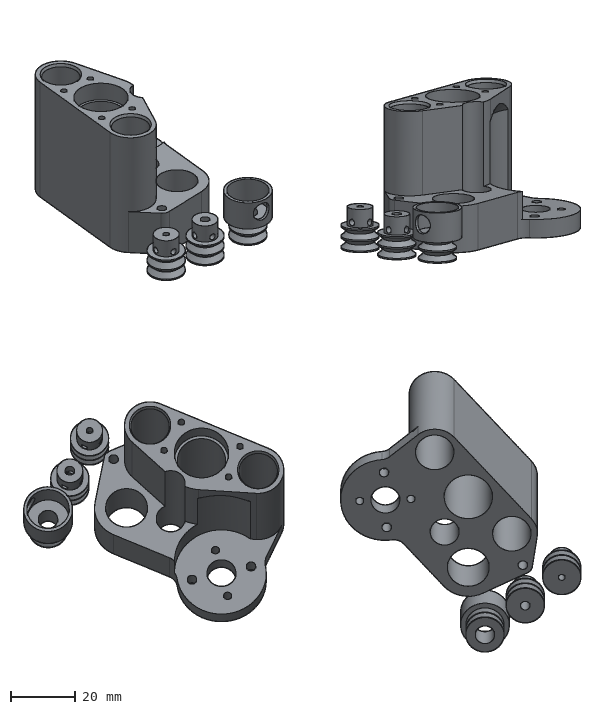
import cadquery as cq
import math

DECK_TOP = 6.0
BLOCK_TOP = 15.0
TOWER_TOP = 42.0

BOSS_X = 18.5
BOSS_RADIUS = 8.0
CENTER_Y = 2.0
CENTER_BOSS_RADIUS = 12.5
IDLER_Y = 17.85
IDLER_BOSS_RADIUS = 10.0
EAR_X = 29.0
EAR_Y = 4.4
EAR_RADIUS = 3.0
BACK_Y = IDLER_Y + IDLER_BOSS_RADIUS
LEFT_X = -BOSS_X - BOSS_RADIUS

MOTOR_X = -16.0
MOTOR_Y = 22.4
MOTOR_DISC_RADIUS = 14.0
MOTOR_FILLET = 4.0
MOTOR_HOLE_RADIUS = 4.5
MOTOR_TILT = 38.0
WIDE_SCREW_OFFSET = 9.5
WIDE_SCREW_RADIUS = 1.5
NARROW_SCREW_OFFSET = 8.0
NARROW_SCREW_RADIUS = 1.25
CLEARANCE_RADIUS = 14.7
CLEARANCE_TOP = 35.0
CLEARANCE_TAPER = 0.71

SIDE_BORE_RADIUS = 6.0
SIDE_MOUTH_RADIUS = 6.45
SIDE_MOUTH_DEPTH = 0.9
CENTER_BORE_RADIUS = 7.5
CENTER_SEAT_RADIUS = 8.5
CENTER_SEAT_DEPTH = 6.05
IDLER_BORE_RADIUS = 6.5
EAR_HOLE_RADIUS = 1.5
SHAFT_X = 4.4
SHAFT_Y = 15.5
SHAFT_HOLE_RADIUS = 4.5
LID_SCREW_RADIUS = 1.0
LID_SCREW_DEPTH = 7.0
LID_SCREWS_BACK = (11.0, 6.0)
LID_SCREWS_FRONT = (10.0, -5.0)

PULLEY_X = 40.1
PULLEY_RADIUS = 6.0
ROOT_RADIUS = 4.2
LAND_HEIGHT = 0.5
GROOVE_WIDTH = 3.0
GROOVE_COUNT = 2
SHEAVE_HEIGHT = GROOVE_COUNT * (LAND_HEIGHT + GROOVE_WIDTH) + LAND_HEIGHT

HUB_RADIUS = 4.0
HUB_TOP = 13.35
SET_SCREW_RADIUS = 1.0
SET_SCREW_Z = 8.9
SMALL_PULLEYS = ((-2.0, 1.0), (13.0, 1.5))

CUP_Y = 29.5
CUP_BASE = 1.5
CUP_RADIUS = 7.6
CUP_TOP = 18.0
CUP_RIM_BASE = CUP_BASE + SHEAVE_HEIGHT - LAND_HEIGHT
CUP_FLOOR = 10.0
CUP_INNER_RADIUS = 6.6
CUP_BORE_RADIUS = 3.0
CUP_SIDE_HOLE_RADIUS = 3.0
CUP_SIDE_HOLE_Z = 14.0


def cylinder(x, y, radius, bottom, top):
    """Upright cylinder between two heights."""
    return cq.Workplane("XY", origin=(x, y, bottom)).circle(radius).extrude(top - bottom)


def on_circle(circle, angle):
    """Point at an angle on a circle given as (x, y, radius)."""
    x, y, radius = circle
    return (x + radius * math.cos(angle), y + radius * math.sin(angle))


def belt_outline(circles, bottom, top):
    """Prism whose outline is a belt around circles listed counter-clockwise."""
    count = len(circles)
    normals = []
    for i in range(count):
        x1, y1, r1 = circles[i]
        x2, y2, r2 = circles[(i + 1) % count]
        heading = math.atan2(y2 - y1, x2 - x1)
        normals.append(heading - math.acos((r1 - r2) / math.hypot(x2 - x1, y2 - y1)))

    outline = cq.Workplane("XY", origin=(0, 0, bottom)).moveTo(*on_circle(circles[0], normals[-1]))
    for i, circle in enumerate(circles):
        arrive = normals[i - 1]
        turn = (normals[i] - arrive) % (2 * math.pi)
        outline = outline.threePointArc(
            on_circle(circle, arrive + turn / 2),
            on_circle(circle, arrive + turn),
        )
        following = (i + 1) % count
        if following:
            outline = outline.lineTo(*on_circle(circles[following], normals[i]))
    return outline.close().extrude(top - bottom)


LEFT_BOSS = (-BOSS_X, 0, BOSS_RADIUS)
RIGHT_BOSS = (BOSS_X, 0, BOSS_RADIUS)
CENTER_BOSS = (0, CENTER_Y, CENTER_BOSS_RADIUS)
EAR = (EAR_X, EAR_Y, EAR_RADIUS)
IDLER_BOSS = (BOSS_X, IDLER_Y, IDLER_BOSS_RADIUS)


def base_block():
    """Full footprint with the motor disc, up to the block height."""
    base = belt_outline([LEFT_BOSS, RIGHT_BOSS, EAR, IDLER_BOSS], 0, BLOCK_TOP)
    back = cq.Workplane("XY").box(BOSS_X - LEFT_X, BACK_Y, BLOCK_TOP, centered=False)
    base = base.union(back.translate((LEFT_X, 0, 0)))
    base = base.union(cylinder(MOTOR_X, MOTOR_Y, MOTOR_DISC_RADIUS, 0, BLOCK_TOP))

    left_drop = math.sqrt(MOTOR_DISC_RADIUS**2 - (MOTOR_X - LEFT_X) ** 2)
    back_reach = math.sqrt(MOTOR_DISC_RADIUS**2 - (BACK_Y - MOTOR_Y) ** 2)
    corners = ((LEFT_X, MOTOR_Y - left_drop), (MOTOR_X + back_reach, BACK_Y))
    for x, y in corners:
        corner = cq.selectors.NearestToPointSelector((x, y, BLOCK_TOP / 2))
        base = base.edges("|Z").edges(corner).fillet(MOTOR_FILLET)
    return base


def deck_relief():
    """Space left of the motor axis, which lowers the block to the deck."""
    width = MOTOR_DISC_RADIUS + CLEARANCE_RADIUS
    depth = MOTOR_Y + 2 * CLEARANCE_RADIUS
    relief = cq.Workplane("XY").box(width, depth, BLOCK_TOP - DECK_TOP, centered=False)
    return relief.translate((MOTOR_X - width, -BOSS_RADIUS, DECK_TOP))


def motor_clearance():
    """Cylinder around the motor, closed by a cone."""
    cone_height = CLEARANCE_RADIUS / CLEARANCE_TAPER
    profile = [
        (0, DECK_TOP),
        (CLEARANCE_RADIUS, DECK_TOP),
        (CLEARANCE_RADIUS, CLEARANCE_TOP),
        (0, CLEARANCE_TOP + cone_height),
    ]
    clearance = cq.Workplane("XZ").polyline(profile).close().revolve(360, (0, 0, 0), (0, 1, 0))
    return clearance.translate((MOTOR_X, MOTOR_Y, 0))


def motor_holes():
    holes = cylinder(MOTOR_X, MOTOR_Y, MOTOR_HOLE_RADIUS, 0, DECK_TOP)
    screw_pairs = (
        (MOTOR_TILT, WIDE_SCREW_OFFSET, WIDE_SCREW_RADIUS),
        (MOTOR_TILT + 90, NARROW_SCREW_OFFSET, NARROW_SCREW_RADIUS),
    )
    for angle, offset, radius in screw_pairs:
        for half_turn in (0, 180):
            x, y = on_circle((MOTOR_X, MOTOR_Y, offset), math.radians(angle + half_turn))
            holes = holes.union(cylinder(x, y, radius, 0, DECK_TOP))
    return holes


def side_bore(x):
    """Through bore with a conical mouth at the top."""
    profile = [
        (0, 0),
        (SIDE_BORE_RADIUS, 0),
        (SIDE_BORE_RADIUS, TOWER_TOP - SIDE_MOUTH_DEPTH),
        (SIDE_MOUTH_RADIUS, TOWER_TOP),
        (0, TOWER_TOP),
    ]
    bore = cq.Workplane("XZ").polyline(profile).close().revolve(360, (0, 0, 0), (0, 1, 0))
    return bore.translate((x, 0, 0))


def make_housing():
    housing = base_block().cut(deck_relief())
    housing = housing.union(belt_outline([LEFT_BOSS, RIGHT_BOSS, CENTER_BOSS], 0, TOWER_TOP))
    housing = housing.cut(motor_clearance()).cut(motor_holes())
    for x in (-BOSS_X, BOSS_X):
        housing = housing.cut(side_bore(x))
    housing = housing.cut(cylinder(0, CENTER_Y, CENTER_BORE_RADIUS, 0, TOWER_TOP))
    seat_floor = TOWER_TOP - CENTER_SEAT_DEPTH
    housing = housing.cut(cylinder(0, CENTER_Y, CENTER_SEAT_RADIUS, seat_floor, TOWER_TOP))
    housing = housing.cut(cylinder(BOSS_X, IDLER_Y, IDLER_BORE_RADIUS, 0, BLOCK_TOP))
    housing = housing.cut(cylinder(EAR_X, EAR_Y, EAR_HOLE_RADIUS, 0, BLOCK_TOP))
    housing = housing.cut(cylinder(SHAFT_X, SHAFT_Y, SHAFT_HOLE_RADIUS, 0, TOWER_TOP))
    for x, y in (LID_SCREWS_BACK, LID_SCREWS_FRONT):
        for side in (-1, 1):
            screw = cylinder(side * x, y, LID_SCREW_RADIUS, TOWER_TOP - LID_SCREW_DEPTH, TOWER_TOP)
            housing = housing.cut(screw)
    return housing


def sheave(y, bottom):
    """Grooved wheel: flat lands with V grooves between them."""
    profile = [(0, 0), (PULLEY_RADIUS, 0)]
    for i in range(GROOVE_COUNT):
        groove_start = i * (LAND_HEIGHT + GROOVE_WIDTH) + LAND_HEIGHT
        profile += [
            (PULLEY_RADIUS, groove_start),
            (ROOT_RADIUS, groove_start + GROOVE_WIDTH / 2),
            (PULLEY_RADIUS, groove_start + GROOVE_WIDTH),
        ]
    profile += [(PULLEY_RADIUS, SHEAVE_HEIGHT), (0, SHEAVE_HEIGHT)]
    wheel = cq.Workplane("XZ").polyline(profile).close().revolve(360, (0, 0, 0), (0, 1, 0))
    return wheel.translate((PULLEY_X, y, bottom))


def make_small_pulley(y, bore_radius):
    """Sheave with a hub and two crossing set-screw holes."""
    pulley = sheave(y, 0).union(cylinder(PULLEY_X, y, HUB_RADIUS, SHEAVE_HEIGHT, HUB_TOP))
    pulley = pulley.cut(cylinder(PULLEY_X, y, bore_radius, 0, HUB_TOP))
    for plane in ("XZ", "YZ"):
        screw_plane = cq.Workplane(plane, origin=(PULLEY_X, y, SET_SCREW_Z))
        pulley = pulley.cut(screw_plane.circle(SET_SCREW_RADIUS).extrude(HUB_RADIUS, both=True))
    return pulley


def make_cup_pulley():
    """Sheave carrying a cup with one radial hole through its +X wall."""
    pulley = sheave(CUP_Y, CUP_BASE)
    pulley = pulley.union(cylinder(PULLEY_X, CUP_Y, CUP_RADIUS, CUP_RIM_BASE, CUP_TOP))
    pulley = pulley.cut(cylinder(PULLEY_X, CUP_Y, CUP_INNER_RADIUS, CUP_FLOOR, CUP_TOP))
    pulley = pulley.cut(cylinder(PULLEY_X, CUP_Y, CUP_BORE_RADIUS, CUP_BASE, CUP_TOP))
    side_hole = cq.Workplane("YZ", origin=(PULLEY_X, CUP_Y, CUP_SIDE_HOLE_Z))
    return pulley.cut(side_hole.circle(CUP_SIDE_HOLE_RADIUS).extrude(CUP_RADIUS))


housing = make_housing()
small_pulleys = [make_small_pulley(y, bore_radius) for y, bore_radius in SMALL_PULLEYS]
cup_pulley = make_cup_pulley()

bodies = [housing, *small_pulleys, cup_pulley]
result = cq.Compound.makeCompound([body.solids().val() for body in bodies])